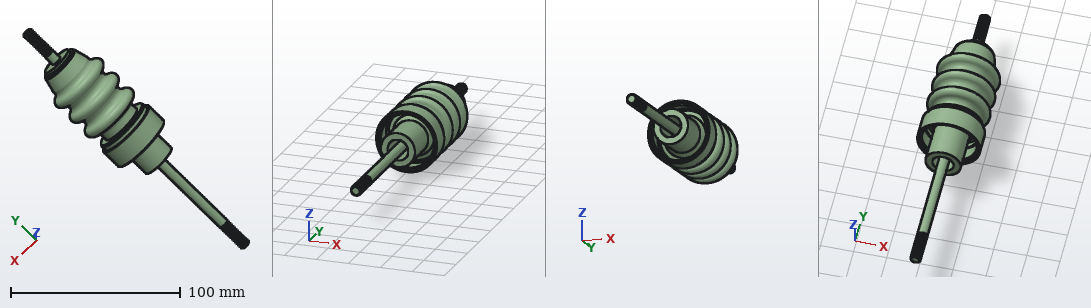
import cadquery as cq
import math

LENGTH = 184.2
TOP_END = LENGTH / 2
BOTTOM_END = -LENGTH / 2

ROD_R = 3.1
RIDGE_ROOT_R = 2.5
RIDGE_PITCH = 1.27
RIDGE_COUNT = 14

COLLAR_R = 9.5
COLLAR_TOP = 67.0
CAP_TOP = 65.2
CAP_TOP_R = 11.5
CAP_SHOULDER_R = 12.2
CAP_SHOULDER_Y = 64.0
CAP_BOTTOM_R = 14.4
CAP_LIP_HEIGHT = 1.1

MAX_DIAMETER = 38.1
MAX_R = MAX_DIAMETER / 2
PEAK_COUNT = 3
PEAK_ARC_R = 3.1
FIRST_PEAK_Y = 48.0
PEAK_PITCH = 12.7
VALLEY_R = 14.4

NECK_R = 12.9
NECK_TOP = 16.4
FLANGE_R = 17.5
FLANGE_TOP = 12.5
FLANGE_BEVEL_WIDTH = 0.5
FLANGE_BEVEL_HEIGHT = 1.1

HOUSING_TOP = 8.7
HOUSING_BOTTOM = -4.0
RIM_BORE_R = 17.9
RIM_BORE_DEPTH = 1.7
CUP_R = 16.5
CUP_STEP_DEPTH = 9.8
INNER_CUP_R = 16.0
CUP_DEPTH = 13.5

HUB_R = 12.9
HUB_HEIGHT = 1.5
HUB_TAPER_HEIGHT = 4.0
SLEEVE_R = 10.7
SLEEVE_BOTTOM = -19.0
SLEEVE_BORE_R = 6.5
SLEEVE_BORE_DEPTH = 22.1


def revolve(outline):
    return outline.close().revolve(360, (0, 0, 0), (0, 1, 0))


def flank(peak_y, low_r, low_y):
    """Arc joint between a peak and a nearby low point, and the middle of the low arc.

    The two arcs are tangent to each other and run parallel to Y at their far ends.
    """
    height = MAX_R - low_r
    run = low_y - peak_y
    radius_sum = (run**2 + height**2) / (2 * height)
    low_arc_r = radius_sum - PEAK_ARC_R
    sweep = math.asin(run / radius_sum)

    def on_low_arc(angle):
        return (low_r + low_arc_r * (1 - math.cos(angle)), low_y - low_arc_r * math.sin(angle))

    return on_low_arc(sweep), on_low_arc(sweep / 2)


def add_bellows(outline):
    """Continue the outline from the valley above the first peak down to the neck."""
    for i in range(PEAK_COUNT):
        peak_y = FIRST_PEAK_Y - i * PEAK_PITCH
        if i < PEAK_COUNT - 1:
            low = (VALLEY_R, peak_y - PEAK_PITCH / 2)
        else:
            low = (NECK_R, NECK_TOP)
        upper_joint, upper_middle = flank(peak_y, VALLEY_R, peak_y + PEAK_PITCH / 2)
        lower_joint, lower_middle = flank(peak_y, *low)
        outline = (
            outline.threePointArc(upper_middle, upper_joint)
            .threePointArc((MAX_R, peak_y), lower_joint)
            .threePointArc(lower_middle, low)
        )
    return outline


def make_boot():
    first_valley_y = FIRST_PEAK_Y + PEAK_PITCH / 2
    rim_step_y = HOUSING_BOTTOM + RIM_BORE_DEPTH
    cup_step_y = HOUSING_BOTTOM + CUP_STEP_DEPTH
    cup_floor_y = HOUSING_BOTTOM + CUP_DEPTH
    hub_y = cup_floor_y - HUB_HEIGHT
    bore_end_y = SLEEVE_BOTTOM + SLEEVE_BORE_DEPTH

    cap = (
        cq.Workplane("XY")
        .moveTo(0, COLLAR_TOP)
        .lineTo(COLLAR_R, COLLAR_TOP)
        .lineTo(COLLAR_R, CAP_TOP)
        .lineTo(CAP_TOP_R, CAP_TOP)
        .lineTo(CAP_SHOULDER_R, CAP_SHOULDER_Y)
        .lineTo(CAP_BOTTOM_R, first_valley_y + CAP_LIP_HEIGHT)
        .lineTo(VALLEY_R, first_valley_y)
    )
    flange_and_housing = (
        add_bellows(cap)
        .lineTo(NECK_R, FLANGE_TOP)
        .lineTo(FLANGE_R - FLANGE_BEVEL_WIDTH, FLANGE_TOP)
        .lineTo(FLANGE_R, FLANGE_TOP - FLANGE_BEVEL_HEIGHT)
        .lineTo(FLANGE_R, HOUSING_TOP)
        .lineTo(MAX_R, HOUSING_TOP)
        .lineTo(MAX_R, HOUSING_BOTTOM)
    )
    cup = (
        flange_and_housing.lineTo(RIM_BORE_R, HOUSING_BOTTOM)
        .lineTo(RIM_BORE_R, rim_step_y)
        .lineTo(CUP_R, rim_step_y)
        .lineTo(CUP_R, cup_step_y)
        .lineTo(INNER_CUP_R, cup_step_y)
        .lineTo(INNER_CUP_R, cup_floor_y)
    )
    sleeve = (
        cup.lineTo(HUB_R, hub_y)
        .lineTo(SLEEVE_R, hub_y - HUB_TAPER_HEIGHT)
        .lineTo(SLEEVE_R, SLEEVE_BOTTOM)
        .lineTo(SLEEVE_BORE_R, SLEEVE_BOTTOM)
        .lineTo(SLEEVE_BORE_R, bore_end_y)
        .lineTo(0, bore_end_y)
    )
    return revolve(sleeve)


def ridge_points(end_y, inward):
    """Zigzag of sharp ring ridges from a rod end to the plain shank."""
    points = [(RIDGE_ROOT_R, end_y)]
    for i in range(RIDGE_COUNT):
        crest_y = end_y + inward * (i + 0.5) * RIDGE_PITCH
        root_y = end_y + inward * (i + 1) * RIDGE_PITCH
        points += [(ROD_R, crest_y), (RIDGE_ROOT_R, root_y)]
    shank_y = end_y + inward * (RIDGE_COUNT + 0.5) * RIDGE_PITCH
    points.append((ROD_R, shank_y))
    return points


def make_rod():
    top_ridges = ridge_points(TOP_END, -1)
    bottom_ridges = ridge_points(BOTTOM_END, 1)
    outline = [(0, TOP_END)] + top_ridges + bottom_ridges[::-1] + [(0, BOTTOM_END)]
    return revolve(cq.Workplane("XY").polyline(outline))


result = make_boot().union(make_rod())